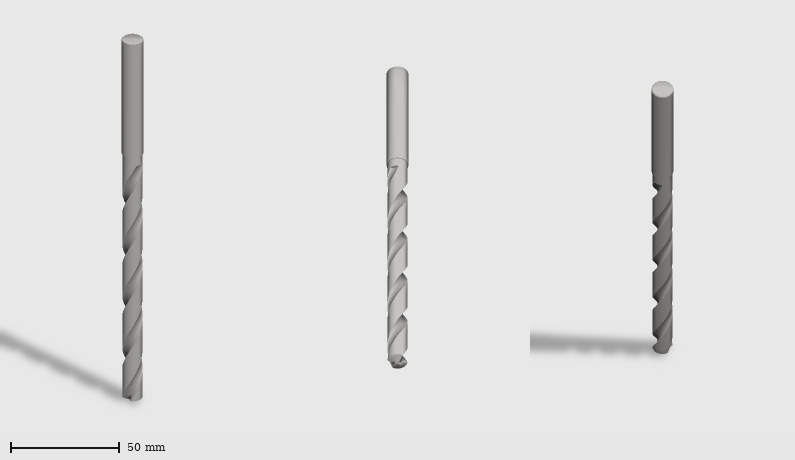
import cadquery as cq
import math

overall_length = 190.0
shank_diameter = 10.0
shank_length = 60.0
shank_chamfer = 0.4

drill_diameter = 9.3
cutting_length = 106.3
point_angle = 135.0

flute_count = 2
flute_pitch = 54.2
flute_radius = 2.9
flute_centre_distance = 5.2
flute_end_height = 119.3
flute_end_angle = 163.0
run_out_height = 6.0
cutter_overrun = 3.0

gash_offset = 1.8
gash_apex_height = 3.0
gash_roof_slope = 55.0
gash_rake = 45.0
web_half_thickness = 0.5

shank_radius = shank_diameter / 2
drill_radius = drill_diameter / 2
shank_start = overall_length - shank_length
point_height = drill_radius / math.tan(math.radians(point_angle / 2))
full_turn = 360.0
cutting_seam_angle = 180.0
shank_seam_angle = 270.0


def rotated(body, angle):
    """Turn a body about the drill axis."""
    return body.rotate((0, 0, 0), (0, 0, 1), angle)


def revolved(outline, seam_angle):
    """Round body from (radius, height) points, with its seam turned to the given angle."""
    body = cq.Workplane("XZ").polyline(outline).close().revolve(full_turn, (0, 0, 0), (0, 1, 0))
    return rotated(body, seam_angle)


def flute_centre(height):
    """Centre of the first flute's horizontal section at a height."""
    angle = math.radians(flute_end_angle + full_turn * (height - flute_end_height) / flute_pitch)
    return cq.Vector(
        flute_centre_distance * math.cos(angle), flute_centre_distance * math.sin(angle), height)


def helical_flute(start_height, end_height):
    """Right-handed helical cutter with a circular horizontal section."""
    centre = flute_centre(start_height)
    length = end_height - start_height
    return (
        cq.Workplane("XY", origin=(0, 0, start_height))
        .moveTo(centre.x, centre.y)
        .circle(flute_radius)
        .twistExtrude(length, full_turn * length / flute_pitch)
    )


def flute_run_out():
    """Straight cutter that leads a flute out of the body along the tangent of its helix."""
    centre = flute_centre(flute_end_height)
    tangent = cq.Vector(-centre.y, centre.x, flute_pitch / (2 * math.pi))
    section = cq.Wire.makeCircle(flute_radius, centre, cq.Vector(0, 0, 1))
    path = tangent * (run_out_height / tangent.z)
    return cq.Workplane(cq.Solid.extrudeLinear(section, [], path))


def web_gash():
    """Notch with one upright side and a sloping roof, rising outward from the web."""
    rise = drill_radius * math.tan(math.radians(gash_rake))
    bottom = -rise
    roof_run = (gash_apex_height - bottom) / math.tan(math.radians(gash_roof_slope))
    section = cq.Wire.makePolygon([
        cq.Vector(gash_offset, -web_half_thickness, bottom),
        cq.Vector(gash_offset, -web_half_thickness, gash_apex_height),
        cq.Vector(gash_offset - roof_run, -web_half_thickness, bottom),
    ], close=True)
    path = cq.Vector(0, -drill_radius, rise)
    return cq.Workplane(cq.Solid.extrudeLinear(section, [], path))


def cut_around(body, cutter):
    """Cut the same feature once for every flute."""
    for index in range(flute_count):
        body = body.cut(rotated(cutter, index * full_turn / flute_count))
    return body


def make_cutting_end():
    """Fluted end with its conical point."""
    outline = [
        (0, 0),
        (drill_radius, point_height),
        (drill_radius, cutting_length),
        (0, cutting_length),
    ]
    body = revolved(outline, cutting_seam_angle)
    body = cut_around(body, helical_flute(-cutter_overrun, cutting_length + cutter_overrun))
    return cut_around(body, web_gash())


def make_shank():
    """Chamfered shank with a fluted neck, where the flutes run out."""
    outline = [
        (0, cutting_length),
        (drill_radius, cutting_length),
        (drill_radius, shank_start),
        (shank_radius, shank_start),
        (shank_radius, overall_length - shank_chamfer),
        (shank_radius - shank_chamfer, overall_length),
        (0, overall_length),
    ]
    body = revolved(outline, shank_seam_angle)
    body = cut_around(body, helical_flute(cutting_length - cutter_overrun, flute_end_height))
    return cut_around(body, flute_run_out())


cutting_end = make_cutting_end()
shank = make_shank()
result = cq.Compound.makeCompound([cutting_end.solids().val(), shank.solids().val()])